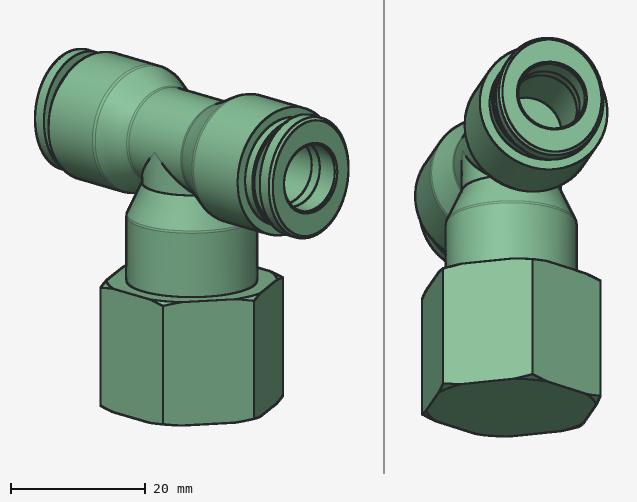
import cadquery as cq
import math


LENGTH = 52.8
SOCKET_DIAMETER = 19.5
WAIST_DIAMETER = 14.8
WAIST_END = 5.95
CONE_END = 11.0
WAIST_FILLET = 0.9
SHOULDER_FILLET = 1.2
STEM_SHOULDER_FILLET = 0.8
BORE_DIAMETER = 10.15

FLANGE_HEIGHT = 18.5
FLANGE_WIDTH = 15.95
FLANGE_THICKNESS = 2.45
FLANGE_CHAMFER = 0.4
MOUTH_CHAMFER = 0.25
NECK_DIAMETER = 11.7
NECK_LENGTH = 1.15
NECK_FILLET = 0.15

COLLAR_DIAMETER = 16.5
COLLAR_LENGTH = 1.8
COLLAR_CHAMFER = 0.2

TOTAL_HEIGHT = 49.75
NUT_FLATS = 24.0
NUT_HEIGHT = 19.0
NUT_FACE_DIAMETER = 25.35
NUT_CORNER_DROP = 0.4

sleeve_face = LENGTH / 2
flange_back = sleeve_face - FLANGE_THICKNESS
collar_face = flange_back - NECK_LENGTH
socket_face = collar_face - COLLAR_LENGTH
bore_depth = socket_face - CONE_END

nut_bottom = SOCKET_DIAMETER / 2 - TOTAL_HEIGHT
nut_top = nut_bottom + NUT_HEIGHT

RIM_MARGIN = 0.05
TURNS = (0, 180)


def outward_plane(distance):
    """Plane across the run at the given distance on +X, facing outward."""
    return cq.Workplane("YZ", origin=(distance, 0, 0))


def at_each_end(body):
    """One separate copy of a +X body for each end of the run."""
    return [body.rotate((0, 0, 0), (0, 0, 1), turn).val() for turn in TURNS]


def fillet_rim(arm, level, fillet):
    """Round the circular edge of a +Z arm that lies at the given level."""
    reach = SOCKET_DIAMETER
    slice_low = (-reach, -reach, level - RIM_MARGIN)
    slice_high = (reach, reach, level + RIM_MARGIN)
    return arm.edges(cq.selectors.BoxSelector(slice_low, slice_high)).fillet(fillet)


def make_arm(length, shoulder_fillet):
    """Round arm along +Z from the origin: waist, cone and barrel."""
    waist_radius = WAIST_DIAMETER / 2
    barrel_radius = SOCKET_DIAMETER / 2
    arm = (
        cq.Workplane("XZ")
        .polyline([
            (0, 0),
            (waist_radius, 0),
            (waist_radius, WAIST_END),
            (barrel_radius, CONE_END),
            (barrel_radius, length),
            (0, length),
        ])
        .close()
        .revolve(360, (0, 0), (0, 1))
    )
    return fillet_rim(arm, CONE_END, shoulder_fillet)


def make_tee():
    """Run with two blind sockets, plus the stem, mitred where they cross."""
    half_run = fillet_rim(make_arm(socket_face, SHOULDER_FILLET), WAIST_END, WAIST_FILLET)
    stem = make_arm(-nut_top, STEM_SHOULDER_FILLET).rotate((0, 0, 0), (1, 0, 0), 180)
    tee = stem
    for angle in (-90, 90):
        tee = tee.union(half_run.rotate((0, 0, 0), (0, 1, 0), angle))
    bore = outward_plane(socket_face).circle(BORE_DIAMETER / 2).extrude(-bore_depth)
    for turn in TURNS:
        tee = tee.cut(bore.rotate((0, 0, 0), (0, 0, 1), turn))
    return tee


def make_collar():
    """Plain ring seated on the socket face, with its outer rim chamfered."""
    ring = outward_plane(socket_face).circle(COLLAR_DIAMETER / 2).extrude(COLLAR_LENGTH)
    ring = ring.faces(">X").edges().chamfer(COLLAR_CHAMFER)
    return ring.faces(">X").workplane().circle(BORE_DIAMETER / 2).cutThruAll()


def make_sleeve():
    """Release sleeve: chamfered oval flange on a round neck, bored through."""
    flange = (
        outward_plane(flange_back)
        .ellipse(FLANGE_WIDTH / 2, FLANGE_HEIGHT / 2)
        .extrude(FLANGE_THICKNESS)
        .faces(">X").edges().chamfer(FLANGE_CHAMFER)
    )
    neck = outward_plane(collar_face).circle(NECK_DIAMETER / 2).extrude(NECK_LENGTH)
    sleeve = flange.union(neck)
    sleeve = sleeve.faces("<X[1]").edges("%CIRCLE").fillet(NECK_FILLET)
    sleeve = sleeve.faces(">X").workplane().circle(BORE_DIAMETER / 2).cutThruAll()
    return sleeve.faces(">X").edges("%CIRCLE").chamfer(MOUTH_CHAMFER)


def make_nut():
    """Hexagonal nut, corners pointing along X and chamfered at both ends."""
    corner_radius = NUT_FLATS / 2 / math.cos(math.radians(30))
    face_radius = NUT_FACE_DIAMETER / 2
    hexagon = (
        cq.Workplane("XY", origin=(0, 0, nut_bottom))
        .polygon(6, 2 * corner_radius)
        .extrude(NUT_HEIGHT)
    )
    chamfer_envelope = (
        cq.Workplane("XZ")
        .polyline([
            (0, nut_bottom),
            (face_radius, nut_bottom),
            (corner_radius, nut_bottom + NUT_CORNER_DROP),
            (corner_radius, nut_top - NUT_CORNER_DROP),
            (face_radius, nut_top),
            (0, nut_top),
        ])
        .close()
        .revolve(360, (0, 0), (0, 1))
    )
    return hexagon.intersect(chamfer_envelope)


tee = make_tee()
nut = make_nut()
collars = at_each_end(make_collar())
sleeves = at_each_end(make_sleeve())

result = cq.Compound.makeCompound([tee.val(), nut.val(), *collars, *sleeves])